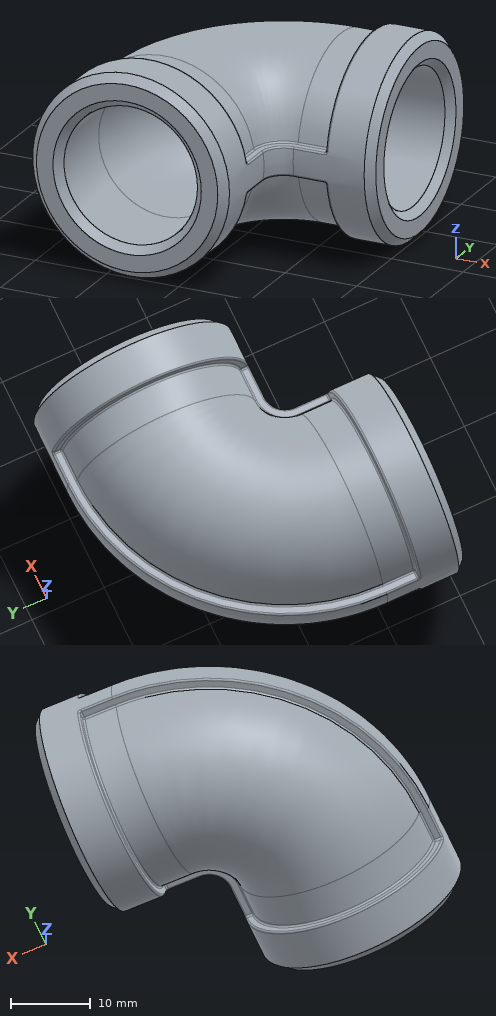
import math

import cadquery as cq

arm_length = 27.5
bend_radius = 16.5

collar_diameter = 27.5
collar_length = 6.5
collar_chamfer = 1.1

body_diameter = 25.0

rib_width = 4.0

blend_radius = 0.25

bore_diameter = 18.63
mouth_diameter = 20.7
mouth_chamfer = (mouth_diameter - bore_diameter) / 2


def elbow(diameter):
    """Round solid along the whole elbow, from one open end to the other."""
    diagonal = bend_radius * math.sqrt(0.5)
    bend_middle = (bend_radius - diagonal, diagonal - bend_radius)
    centreline = (
        cq.Workplane("XY")
        .moveTo(0, -arm_length)
        .lineTo(0, -bend_radius)
        .threePointArc(bend_middle, (bend_radius, 0))
        .lineTo(arm_length, 0)
    )
    return (
        cq.Workplane("XZ", origin=(0, -arm_length, 0))
        .circle(diameter / 2)
        .sweep(centreline)
    )


def recess(side):
    """Space around the body between the collars, above (+1) or below (-1) the rib."""
    collar_face = arm_length - collar_length
    outer_limit = collar_diameter
    return (
        cq.Workplane("XY", origin=(0, 0, side * rib_width / 2))
        .moveTo(-outer_limit, -collar_face)
        .lineTo(collar_face, -collar_face)
        .lineTo(collar_face, outer_limit)
        .lineTo(-outer_limit, outer_limit)
        .close()
        .extrude(side * collar_diameter)
        .cut(elbow(body_diameter))
    )


def outer_shape():
    shape = elbow(collar_diameter)
    for side in (1, -1):
        shape = shape.cut(recess(side))

    rib_sides_and_collar_walls = "|Z or ((|X or |Y) exc (>X or <Y))"
    shape = shape.faces(rib_sides_and_collar_walls).edges().fillet(blend_radius)

    return shape.faces(">X or <Y").chamfer(collar_chamfer)


def cut_bore(shape):
    shape = shape.cut(elbow(bore_diameter))
    smallest_circles = cq.selectors.RadiusNthSelector(0)
    return shape.faces(">X or <Y").edges(smallest_circles).chamfer(mouth_chamfer)


result = cut_bore(outer_shape()).solids()